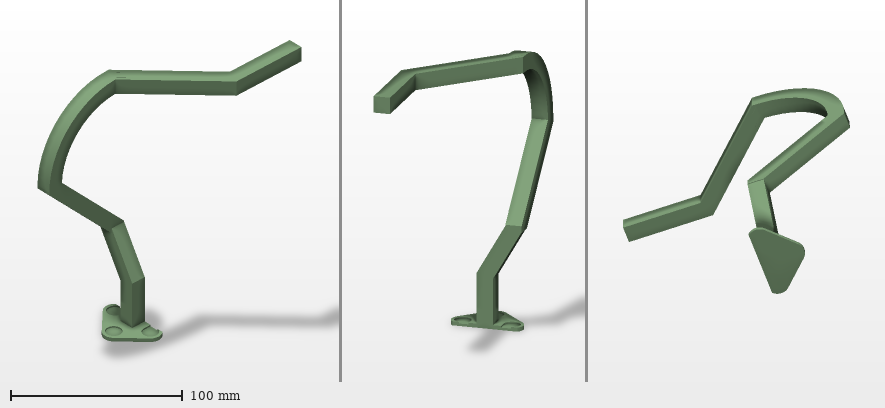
import cadquery as cq
import math

height = 167.5
bar = 10.0
reach = 49.9
arm_end_run = 50.0
neck_slope = 30.0
neck_length = 35.0
plate_thickness = 2.5
plate_corner_radius = 7.0
hole_spacing = 15.0
hole_diameter = 10.2
hole_depth = 1.0
tongue_width = 5.0
slot_clearance = 0.2

half = bar / 2
miter = half * math.tan(math.radians(22.5))
top_axis_z = height - half
bend_z = top_axis_z - reach
knee_z = bend_z - reach
neck_drop = neck_length * math.cos(math.radians(neck_slope))
post_x = neck_length * math.sin(math.radians(neck_slope))
elbow_z = knee_z - neck_drop
neck_miter = half * math.tan(math.radians(neck_slope / 2))
joint_y = half
arm_bend_y = reach
arm_end_y = arm_bend_y + arm_end_run


def box_between(low, high):
    size = [b - a for a, b in zip(low, high)]
    return cq.Workplane("XY").box(*size, centered=False).translate(low)


def make_arm_bar():
    """Slanted stretch and straight end, mitered where it meets the hoop at Y = 0."""
    return (
        cq.Workplane("XY", origin=(0, 0, height - bar))
        .moveTo(-half, miter)
        .lineTo(reach - half, arm_bend_y + miter)
        .lineTo(reach - half, arm_end_y)
        .lineTo(reach + half, arm_end_y)
        .lineTo(reach + half, arm_bend_y - miter)
        .lineTo(half, -miter)
        .close()
        .extrude(bar)
    )


def make_tongue(width):
    """Prism along the slanted stretch for the tongue or its slot, ending square to Y."""
    half_run = width / math.sqrt(2)
    return (
        cq.Workplane("XY", origin=(0, 0, height - bar))
        .polyline([
            (-half_run, 0),
            (half_run, 0),
            (joint_y + half_run, joint_y),
            (joint_y - half_run, joint_y),
        ])
        .close()
        .extrude(bar)
    )


def make_arm(tongue):
    beyond_joint = box_between((-bar, joint_y, 0), (reach + bar, arm_end_y, height))
    return make_arm_bar().intersect(beyond_joint).union(tongue)


def make_hoop(slot):
    """Quarter bend, 45 degree strut and the slotted end that receives the tongue."""
    outer = reach + half
    inner = reach - half
    inner_end_angle = math.asin(miter / inner)
    inner_mid_angle = (inner_end_angle + math.pi / 2) / 2
    outer_mid = outer / math.sqrt(2)
    profile_width = 4 * bar
    profile = (
        cq.Workplane("YZ", origin=(-profile_width / 2, 0, 0))
        .moveTo(joint_y, height)
        .lineTo(0, height)
        .threePointArc((-outer_mid, bend_z + outer_mid), (-outer, bend_z))
        .lineTo(-outer, bend_z - miter)
        .lineTo(-half, knee_z - miter)
        .lineTo(half, knee_z - miter)
        .lineTo(half, knee_z + miter)
        .lineTo(-inner * math.cos(inner_end_angle), bend_z + miter)
        .threePointArc(
            (-inner * math.cos(inner_mid_angle), bend_z + inner * math.sin(inner_mid_angle)),
            (0, bend_z + inner),
        )
        .lineTo(joint_y, height - bar)
        .close()
        .extrude(profile_width)
    )
    upper_plan = (
        cq.Workplane("XY", origin=(0, 0, bend_z))
        .polyline([
            (-half, -outer),
            (half, -outer),
            (half, -miter),
            (joint_y + half + miter, joint_y),
            (joint_y - half - miter, joint_y),
            (-half, miter),
        ])
        .close()
        .extrude(height - bend_z)
    )
    lower_plan = box_between((-half, -outer, 0), (half, half, bend_z))
    return profile.intersect(upper_plan.union(lower_plan)).cut(slot)


def make_neck():
    """Leaning neck and vertical post, running down to the plate."""
    return (
        cq.Workplane("XZ", origin=(0, half, 0))
        .polyline([
            (-half, knee_z - neck_miter),
            (half, knee_z + neck_miter),
            (post_x + half, elbow_z + neck_miter),
            (post_x + half, 0),
            (post_x - half, 0),
            (post_x - half, elbow_z - neck_miter),
        ])
        .close()
        .extrude(bar)
    )


def make_plate():
    """Triangular foot with rounded corners, cut flush with the back of the post."""
    radius = plate_corner_radius
    slant = radius / math.sqrt(2)
    side_x = hole_spacing + math.sqrt(radius**2 - half**2)
    plate = (
        cq.Workplane("XY", origin=(post_x, 0, 0))
        .moveTo(-side_x, half)
        .threePointArc((-hole_spacing - radius, 0), (-hole_spacing - slant, -slant))
        .lineTo(-slant, -hole_spacing - slant)
        .threePointArc((0, -hole_spacing - radius), (slant, -hole_spacing - slant))
        .lineTo(hole_spacing + slant, -slant)
        .threePointArc((hole_spacing + radius, 0), (side_x, half))
        .close()
        .extrude(plate_thickness)
    )
    floor_z = plate_thickness - hole_depth
    centres = [(-hole_spacing, 0), (hole_spacing, 0), (0, -hole_spacing)]
    recesses = (
        cq.Workplane("XY", origin=(post_x, 0, floor_z))
        .pushPoints(centres)
        .circle(hole_diameter / 2)
        .extrude(hole_depth)
    )
    plate = plate.cut(recesses)
    for side in (-1, 1):
        inner_x = post_x + side * (hole_spacing - hole_diameter / 2)
        centre_x = post_x + side * hole_spacing
        notch = box_between(
            (min(inner_x, centre_x), 0, floor_z),
            (max(inner_x, centre_x), half, plate_thickness),
        )
        plate = plate.cut(notch)
    return plate


tongue = make_tongue(tongue_width)
slot = make_tongue(tongue_width + 2 * slot_clearance)
arm = make_arm(tongue)
stand = make_hoop(slot).union(make_neck()).union(make_plate())

result = cq.Compound.makeCompound([arm.val(), stand.val()])